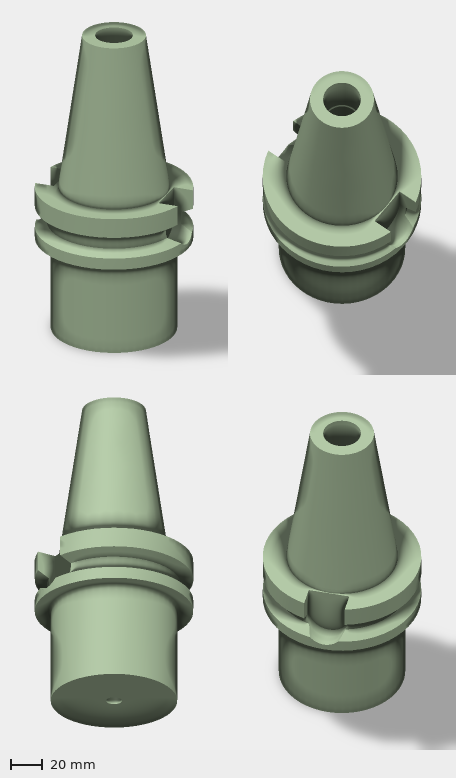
import cadquery as cq
import math

total_length = 201.8
body_radius = 40.0
flange_bottom_z = 62.2
flange_top_z = 97.0
gauge_z = 100.0

taper_large_radius = 35.0
taper_small_radius = 20.2
collar_radius = 35.1
collar_height = 1.2

flange_radius = 50.0
body_fillet_radius = 2.0
groove_floor_radius = 42.4
lower_rim_top_z = 69.8
groove_floor_bottom_z = 73.3
groove_floor_top_z = 80.5
upper_rim_bottom_z = 84.2

slot_width = 26.2
slot_bottom_z = 66.2
slot_wall_x = 35.5

entry_radius = 12.0
entry_depth = 30.3
thread_bore_radius = 10.9
thread_bore_depth = 70.6
drill_point_angle = 118.0
through_radius = 5.0


def revolve_profile(points):
    """Revolve (radius, z) points about the Z axis."""
    return cq.Workplane("XZ").polyline(points).close().revolve(360, (0, 0), (0, 1))


def make_holder():
    holder = revolve_profile([
        (0, 0),
        (body_radius, 0),
        (body_radius, flange_bottom_z),
        (flange_radius, flange_bottom_z),
        (flange_radius, lower_rim_top_z),
        (groove_floor_radius, groove_floor_bottom_z),
        (groove_floor_radius, groove_floor_top_z),
        (flange_radius, upper_rim_bottom_z),
        (flange_radius, flange_top_z),
        (collar_radius, flange_top_z),
        (collar_radius, flange_top_z + collar_height),
        (taper_large_radius, gauge_z),
        (taper_small_radius, total_length),
        (0, total_length),
    ])
    body_flange_corner = cq.selectors.BoxSelector(
        (-flange_radius, -flange_radius, flange_bottom_z - body_fillet_radius),
        (flange_radius, flange_radius, flange_bottom_z + body_fillet_radius),
        boundingbox=True,
    )
    corner_edges = holder.edges(body_flange_corner).edges(cq.selectors.RadiusNthSelector(0))
    return corner_edges.fillet(body_fillet_radius)


def make_bore():
    thread_bore_end_z = total_length - thread_bore_depth
    half_angle = math.radians(drill_point_angle / 2)
    drill_point_height = (thread_bore_radius - through_radius) / math.tan(half_angle)
    return revolve_profile([
        (0, 0),
        (through_radius, 0),
        (through_radius, thread_bore_end_z - drill_point_height),
        (thread_bore_radius, thread_bore_end_z),
        (thread_bore_radius, total_length - entry_depth),
        (entry_radius, total_length - entry_depth),
        (entry_radius, total_length),
        (0, total_length),
    ])


def make_drive_slot(side):
    """Round-bottomed slot, open at the flange top, on the +X (1) or -X (-1) side."""
    slot_radius = slot_width / 2
    arc_center_z = slot_bottom_z + slot_radius
    return (
        cq.Workplane("YZ", origin=(side * slot_wall_x, 0, 0))
        .moveTo(-slot_radius, flange_top_z)
        .lineTo(-slot_radius, arc_center_z)
        .threePointArc((0, slot_bottom_z), (slot_radius, arc_center_z))
        .lineTo(slot_radius, flange_top_z)
        .close()
        .extrude(side * flange_radius)
    )


result = make_holder().cut(make_bore())
for slot_side in (-1, 1):
    result = result.cut(make_drive_slot(slot_side))